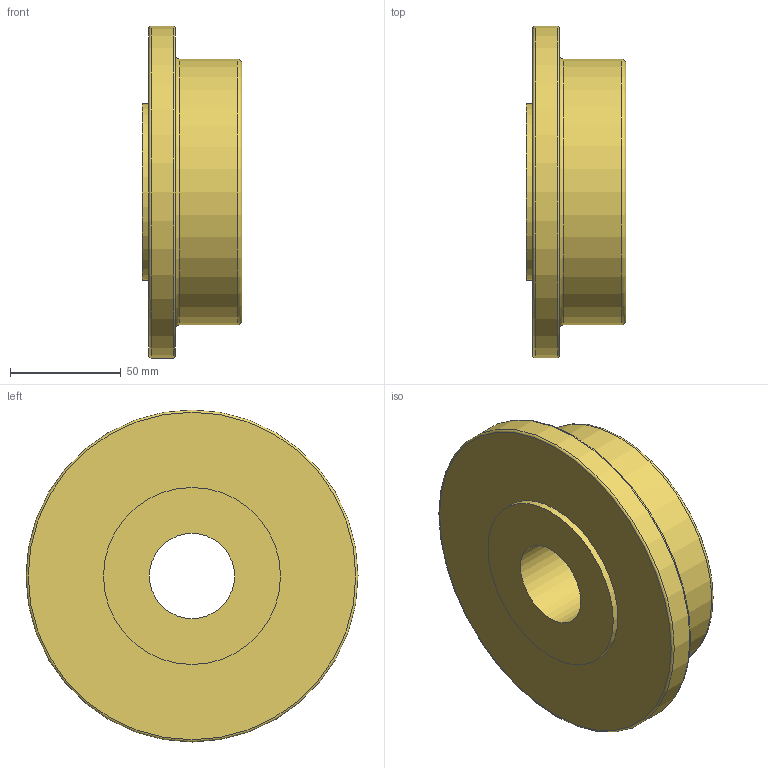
import cadquery as cq

hub_height = 3.0
flange_width = 12.0
tread_width = 30.0

flange_diameter = 150.0
tread_diameter = 120.0
hub_diameter = 80.0
bore_diameter = 38.5

flange_edge_radius = 1.0
tread_edge_radius = 2.0
root_radius = 2.0

flange_start = hub_height
flange_end = flange_start + flange_width
tread_end = flange_end + tread_width


def disc(diameter, start, width):
    """Solid disc about the X axis, running from start towards +X."""
    return cq.Workplane("YZ").workplane(offset=start).circle(diameter / 2).extrude(width)


def edges_at(x, diameter):
    """Selector for the circular edges of the given diameter at position x."""
    tolerance = 0.1
    radius = diameter / 2 + tolerance
    return cq.selectors.BoxSelector(
        (x - tolerance, -radius, -radius),
        (x + tolerance, radius, radius),
        boundingbox=True,
    )


def make_flange():
    """Flange with both outer edges rounded."""
    flange = disc(flange_diameter, flange_start, flange_width)
    return flange.edges("%CIRCLE").fillet(flange_edge_radius)


def make_tread():
    """Tread cylinder with its free end rounded."""
    tread = disc(tread_diameter, flange_end, tread_width)
    return tread.faces(">X").edges().fillet(tread_edge_radius)


def make_wheel():
    """Flanged wheel with a hub face, a filleted tread root and a through bore."""
    wheel = make_flange().union(make_tread())
    wheel = wheel.edges(edges_at(flange_end, tread_diameter)).fillet(root_radius)
    wheel = wheel.union(disc(hub_diameter, 0, hub_height))
    return wheel.cut(disc(bore_diameter, 0, tread_end))


result = make_wheel()